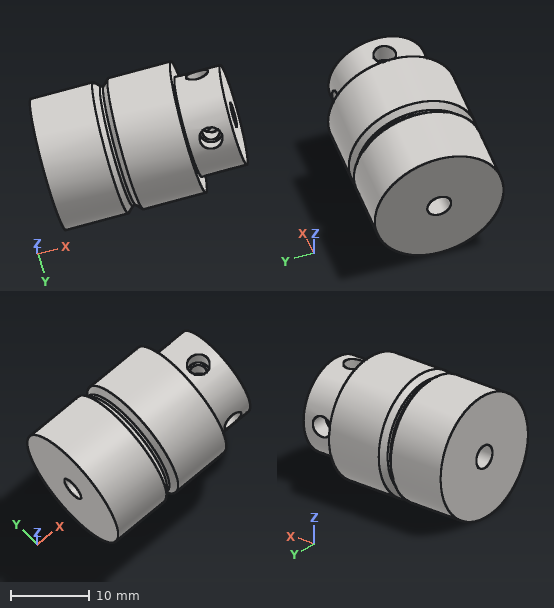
import cadquery as cq

total_length = 24.6
body_diameter = 17.4
hub_diameter = 13.2
hub_length = 6.0
body_length = total_length - hub_length

groove_floor_diameter = 15.8
groove_floor_width = 0.42
groove_depth = (body_diameter - groove_floor_diameter) / 2
groove_center = body_length / 2

bore_diameter = 3.2
cross_hole_diameter = 2.2
counterbore_diameter = 2.9
counterbore_floor_radius = 4.0
cross_hole_x = total_length - hub_length / 2


def make_body():
    """Large cylinder with a smaller hub at its +X end."""
    body = cq.Workplane("YZ").circle(body_diameter / 2).extrude(body_length)
    return body.faces(">X").workplane().circle(hub_diameter / 2).extrude(hub_length)


def make_groove():
    """Ring whose 45 degree flanks meet the body surface."""
    floor_radius = groove_floor_diameter / 2
    floor_half = groove_floor_width / 2
    mouth_half = floor_half + groove_depth
    profile = [
        (groove_center - mouth_half, body_diameter / 2),
        (groove_center - floor_half, floor_radius),
        (groove_center + floor_half, floor_radius),
        (groove_center + mouth_half, body_diameter / 2),
    ]
    return cq.Workplane("XY").polyline(profile).close().revolve(360, (0, 0), (1, 0))


def make_radial_hole(angle):
    """Stepped hole from the bore axis outward, turned about X from the +Z direction."""
    plane = cq.Workplane("XY").center(cross_hole_x, 0)
    narrow = plane.circle(cross_hole_diameter / 2).extrude(hub_diameter / 2)
    wide = (
        plane.workplane(offset=counterbore_floor_radius)
        .circle(counterbore_diameter / 2)
        .extrude(hub_diameter / 2 - counterbore_floor_radius)
    )
    return narrow.union(wide).rotate((0, 0, 0), (1, 0, 0), angle)


bore = cq.Workplane("YZ").circle(bore_diameter / 2).extrude(total_length)

result = make_body().cut(make_groove()).cut(bore)
for hole_angle in (0, 90, 180, 270):
    result = result.cut(make_radial_hole(hole_angle))